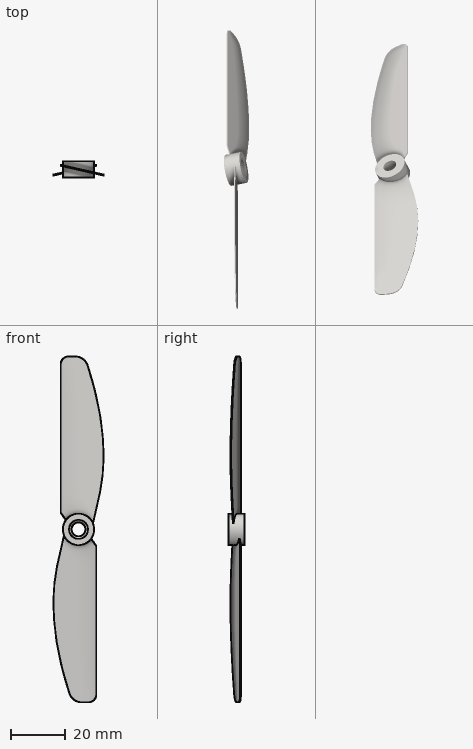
import cadquery as cq

HUB_DIAMETER = 11.55
HUB_LENGTH = 6.0
BORE_DIAMETER = 5.0
LEAD_IN_DIAMETER = 7.0
LEAD_IN_DEPTH = 1.0

SPAN = 127.0
PITCH_ANGLE = 12.75
BLADE_THICKNESS = 0.4

TIP_RADIUS = SPAN / 2
STRAIGHT_EDGE = -6.7
BULGE_EDGE = 9.47
BULGE_HEIGHT = 26.5
ROOT_CHAMFER_START = 6.1
ROOT_NECK = (-4.0, 2.4)
ROOT_BULGE_SIDE = (5.4, 2.0)
TIP_BULGE_SIDE = (2.3, TIP_RADIUS)
BULGE_TIP_SIDE_TANGENT = (-0.35, 1.0)
BULGE_ROOT_SIDE_TANGENT = (0.25, 1.0)
STRAIGHT_CORNER_FILLET = 3.0
BULGE_CORNER_FILLET = 5.0


def make_hub():
    """Plain ring of the hub, before it is bored."""
    return cq.Workplane("XZ").circle(HUB_DIAMETER / 2).extrude(HUB_LENGTH / 2, both=True)


def make_blade():
    """Upper blade: flat plate with one straight and one bulging edge, pitched about Z."""
    outline = (
        cq.Workplane("XZ")
        .moveTo(*ROOT_BULGE_SIDE)
        .spline(
            [(BULGE_EDGE, BULGE_HEIGHT), TIP_BULGE_SIDE],
            tangents=[BULGE_ROOT_SIDE_TANGENT, (0, 1), BULGE_TIP_SIDE_TANGENT],
            includeCurrent=True,
        )
        .lineTo(STRAIGHT_EDGE, TIP_RADIUS)
        .lineTo(STRAIGHT_EDGE, ROOT_CHAMFER_START)
        .lineTo(*ROOT_NECK)
        .close()
    )
    plate = outline.extrude(BLADE_THICKNESS / 2, both=True)
    tip_corners = plate.faces(">Z").edges("|Y")
    plate = tip_corners.edges("<X").fillet(STRAIGHT_CORNER_FILLET)
    plate = plate.faces(">Z").edges("|Y").edges(">X").fillet(BULGE_CORNER_FILLET)
    return plate.rotate((0, 0, 0), (0, 0, 1), -PITCH_ANGLE)


def make_bore():
    """Through bore with a conical lead-in opening on the -Y face."""
    front_face = cq.Workplane("XZ", origin=(0, -HUB_LENGTH / 2, 0))
    bore = front_face.circle(BORE_DIAMETER / 2).extrude(-HUB_LENGTH)
    lead_in = (
        front_face.circle(LEAD_IN_DIAMETER / 2)
        .workplane(offset=-LEAD_IN_DEPTH)
        .circle(BORE_DIAMETER / 2)
        .loft()
    )
    return bore.union(lead_in)


upper_blade = make_blade()
lower_blade = upper_blade.rotate((0, 0, 0), (0, 1, 0), 180)
result = make_hub().union(upper_blade).union(lower_blade).cut(make_bore())